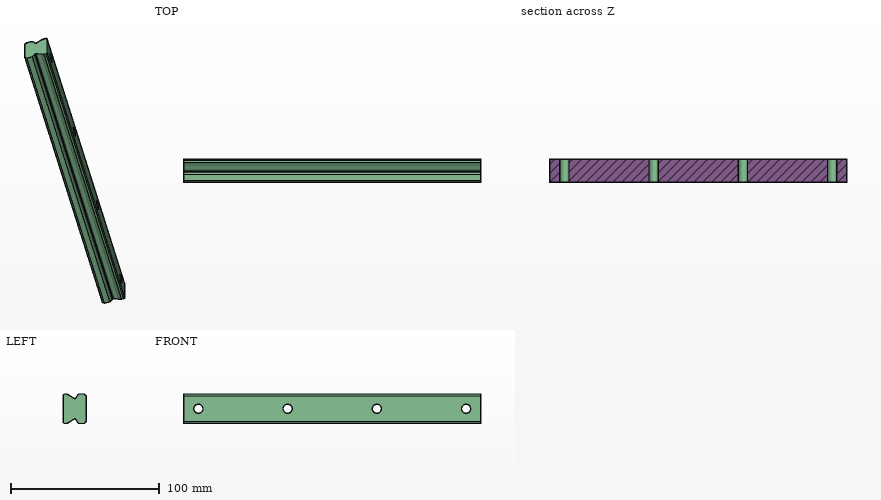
import cadquery as cq

length = 200.0
depth = 15.5
height = 20.0
half_height = height / 2

front_chamfer = 1.5
back_chamfer = 0.8

groove_points = [
    (2.2, 0.0),
    (2.8, 0.2),
    (4.0, 0.8),
    (7.5, 3.0),
    (8.0, 3.2),
    (8.5, 2.8),
    (9.0, 1.8),
    (10.5, 0.0),
]

hole_diameter = 6.0
hole_count = 4
hole_pitch = 60.0


def upper_profile():
    """Upper half of the section as (y, z) points, from back to front."""
    back = depth / 2
    front = -depth / 2
    groove = [(back - distance, half_height - drop) for distance, drop in groove_points]
    return [
        (back, half_height - back_chamfer),
        (back - back_chamfer, half_height),
        *groove,
        (front + front_chamfer, half_height),
        (front, half_height - front_chamfer),
    ]


def rail_body():
    """Extrude the section, which is symmetric about the middle height."""
    upper = upper_profile()
    lower = [(y, -z) for y, z in reversed(upper)]
    section = cq.Workplane("YZ").polyline(upper + lower).close()
    return section.extrude(length / 2, both=True)


def mounting_holes():
    """Row of round cutters passing through the rail from front to back."""
    return (
        cq.Workplane("XZ")
        .rarray(hole_pitch, 2, hole_count, 1)
        .circle(hole_diameter / 2)
        .extrude(depth, both=True)
    )


result = rail_body().cut(mounting_holes())